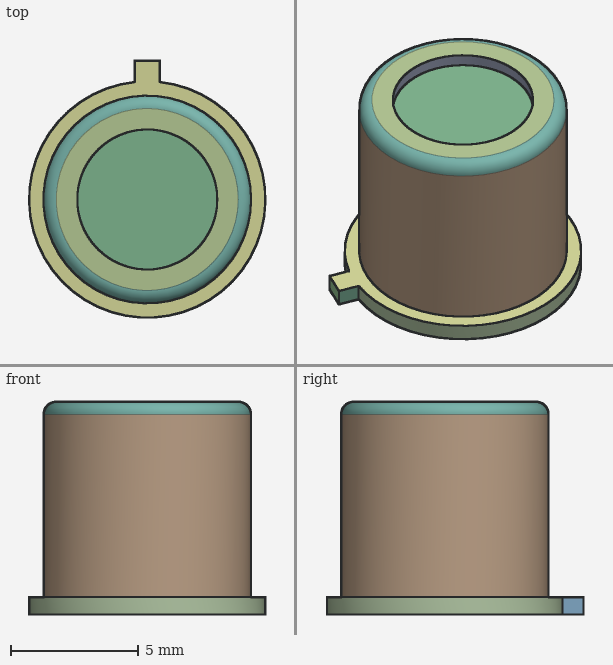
import cadquery as cq

total_height = 8.35
total_length = 10.09

flange_diameter = 9.28
flange_thickness = 0.69
tab_width = 1.0
tab_reach = total_length - flange_diameter / 2

cap_diameter = 8.15
rim_radius = 0.5
window_diameter = 5.5
window_depth = 0.5


def make_flange():
    """Round flange with a rectangular tab pointing along +Y."""
    disc = cq.Workplane("XY").circle(flange_diameter / 2).extrude(flange_thickness)
    tab = cq.Workplane("XY").box(tab_width, tab_reach, flange_thickness, centered=(True, False, False))
    return disc.union(tab)


def make_cap():
    """Solid cylinder rising from the base plane, with its top edge rounded."""
    cylinder = cq.Workplane("XY").circle(cap_diameter / 2).extrude(total_height)
    return cylinder.faces(">Z").edges().fillet(rim_radius)


def make_window():
    """Cutting body for the shallow recess in the top face."""
    floor_height = total_height - window_depth
    return cq.Workplane("XY").workplane(offset=floor_height).circle(window_diameter / 2).extrude(window_depth)


result = make_flange().union(make_cap()).cut(make_window())